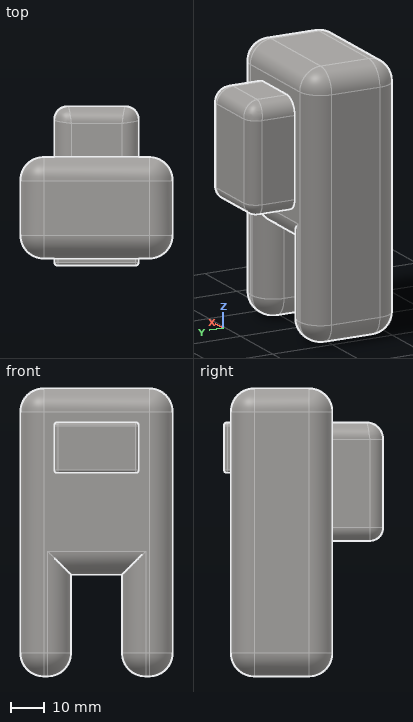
import cadquery as cq

housing_width = 45.0
housing_depth = 30.0
housing_height = 85.0
housing_round = 7.0
slot_width = 15.0
slot_height = 30.0
pick_margin = 0.85

pad_width = 25.0
pad_drop = 10.0
pad_top = housing_height - pad_drop

plate_height = 15.0
plate_thickness = 2.0
plate_round = 1.0

block_height = 35.0
block_depth = 15.0
block_top_round = 5.0
block_round = 4.0

front_y = -housing_depth / 2
back_y = housing_depth / 2


def make_housing():
    """Block with a slot open at the bottom; every outer edge is rounded."""
    block = cq.Workplane("XY").box(
        housing_width, housing_depth, housing_height, centered=(True, True, False)
    )
    slot = cq.Workplane("XY").box(
        slot_width, housing_depth, slot_height, centered=(True, True, False)
    )
    slot_roof_zone = cq.selectors.BoxSelector(
        (-slot_width, front_y, slot_height - pick_margin),
        (slot_width, back_y, slot_height + pick_margin),
    )
    concave_corners = cq.selectors.AndSelector(
        slot_roof_zone, cq.selectors.ParallelDirSelector(cq.Vector(0, 1, 0))
    )
    outer_edges = cq.selectors.InverseSelector(concave_corners)
    return block.cut(slot).edges(outer_edges).fillet(housing_round)


def make_front_plate():
    """Thin plate lying on the front face, rounded except where it touches."""
    plate = cq.Workplane("XY").box(
        pad_width, plate_thickness, plate_height, centered=(True, False, False)
    )
    plate = plate.edges("not >Y").fillet(plate_round)
    return plate.translate((0, front_y - plate_thickness, pad_top - plate_height))


def make_back_block():
    """Deep block on the back face, with larger rounds around its top face."""
    block = cq.Workplane("XY").box(
        pad_width, block_depth, block_height, centered=(True, False, False)
    )
    block = block.edges("(not >Z) and (not <Y)").fillet(block_round)
    block = block.faces(">Z").edges("not <Y").fillet(block_top_round)
    return block.translate((0, back_y, pad_top - block_height))


housing = make_housing()
front_plate = make_front_plate()
back_block = make_back_block()

result = cq.Compound.makeCompound([housing.val(), front_plate.val(), back_block.val()])